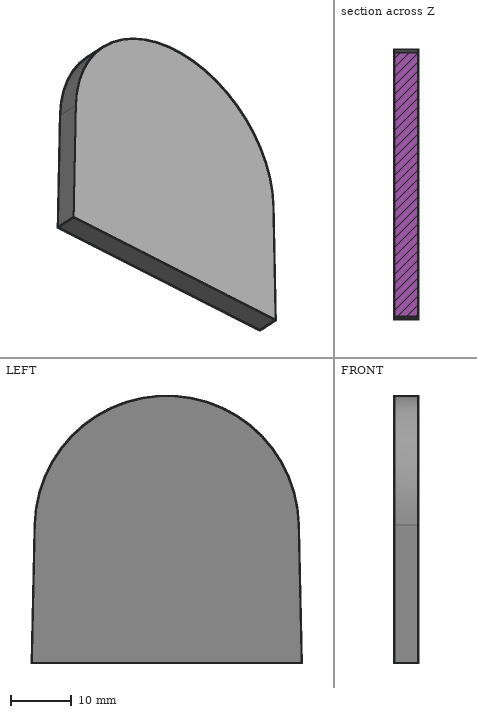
import cadquery as cq
import math

thickness = 4.0
base_width = 45.0
height = 44.5
top_radius = 22.0

half_base = base_width / 2
center_height = height - top_radius
corner_distance = math.hypot(half_base, center_height)
corner_angle = math.atan2(-center_height, half_base)
tangent_angle = corner_angle + math.acos(top_radius / corner_distance)
tangent_y = top_radius * math.cos(tangent_angle)
tangent_z = center_height + top_radius * math.sin(tangent_angle)

result = (
    cq.Workplane("YZ")
    .moveTo(-half_base, 0)
    .lineTo(half_base, 0)
    .lineTo(tangent_y, tangent_z)
    .threePointArc((0, height), (-tangent_y, tangent_z))
    .close()
    .extrude(thickness / 2, both=True)
)